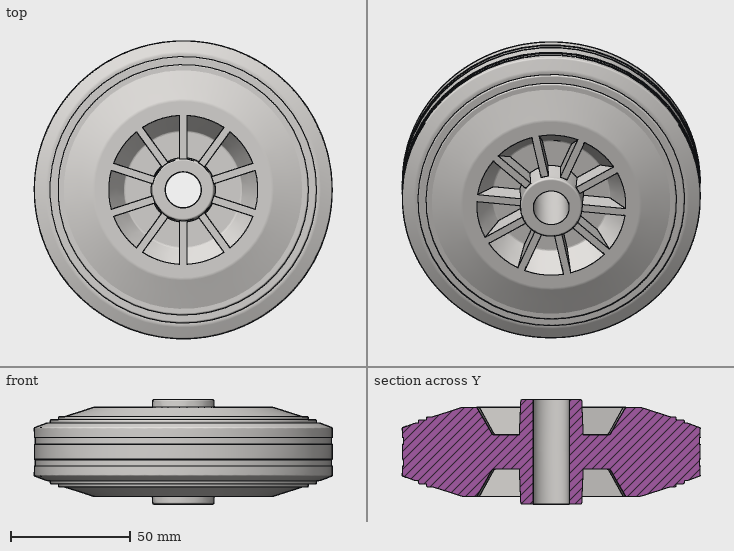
import cadquery as cq

hub_height = 44.0
hub_end_radius = 12.9
hub_foot_radius = 13.5
bore_diameter = 15
hub_edge_round = 0.8

disc_half_width = 18.8
disc_face_radius = 37.5
cone_outer_radius = 50
cone_outer_height = 14.8
disc_edge_round = 3.1

inner_step_radius = 52.5
outer_step_radius = 55.9
outer_step_height = 13.5
step_edge_round = 0.6

tread_radius = 62.5
shoulder_inner_radius = 57.2
shoulder_inner_height = 12.1
shoulder_outer_height = 10.1
shoulder_inner_round = 2.8
shoulder_outer_round = 0.8
groove_diameter = 124.4
groove_inner_height = 3.0
groove_slope_height = 0.4
groove_outer_height = 6.0

pocket_top_radius = 31.2
pocket_floor_radius = 24.6
pocket_floor_height = 7.2
pocket_floor_round = 0.9
rib_count = 10
rib_width = 3.1


def circular_edges(solid, radius, height):
    """Pick the circular edges of one radius at +height and -height."""
    tolerance = 0.01
    return solid.edges("%CIRCLE").filter(
        lambda edge: abs(edge.radius() - radius) < tolerance
        and abs(abs(edge.Center().z) - height) < tolerance
    )


def make_body():
    """Revolve the symmetric half-section of rim and tread, with the corners rounded."""
    upper_outline = [
        (0, disc_half_width),
        (disc_face_radius, disc_half_width),
        (cone_outer_radius, cone_outer_height),
        (inner_step_radius, cone_outer_height),
        (inner_step_radius, outer_step_height),
        (outer_step_radius, outer_step_height),
        (outer_step_radius, shoulder_inner_height),
        (shoulder_inner_radius, shoulder_inner_height),
        (tread_radius, shoulder_outer_height),
    ]
    lower_outline = [(radius, -height) for radius, height in reversed(upper_outline)]
    body = (
        cq.Workplane("XZ")
        .polyline(upper_outline + lower_outline)
        .close()
        .revolve(360, (0, 0, 0), (0, 1, 0))
    )
    rounded_corners = [
        (tread_radius, shoulder_outer_height, shoulder_outer_round),
        (shoulder_inner_radius, shoulder_inner_height, shoulder_inner_round),
        (outer_step_radius, outer_step_height, step_edge_round),
        (inner_step_radius, cone_outer_height, step_edge_round),
        (disc_face_radius, disc_half_width, disc_edge_round),
    ]
    for radius, height, rounding in rounded_corners:
        body = circular_edges(body, radius, height).fillet(rounding)
    return body


def make_tread_grooves():
    """Shallow band around the tread with one sloped wall, on each side of the middle."""
    groove_radius = groove_diameter / 2
    groove = (
        cq.Workplane("XZ")
        .polyline([
            (tread_radius, groove_inner_height),
            (groove_radius, groove_inner_height + groove_slope_height),
            (groove_radius, groove_outer_height),
            (tread_radius, groove_outer_height),
        ])
        .close()
        .revolve(360, (0, 0, 0), (0, 1, 0))
    )
    return groove.union(groove.mirror("XY"))


def make_pockets():
    """Tapered round recess on both faces, left solid where the ribs stand."""
    recess = (
        cq.Workplane("XZ")
        .polyline([
            (0, pocket_floor_height),
            (pocket_floor_radius, pocket_floor_height),
            (pocket_top_radius, disc_half_width),
            (0, disc_half_width),
        ])
        .close()
        .revolve(360, (0, 0, 0), (0, 1, 0))
    )
    recess = circular_edges(recess, pocket_floor_radius, pocket_floor_height).fillet(pocket_floor_round)
    for index in range(rib_count):
        rib = (
            cq.Workplane("XY")
            .center(0, tread_radius / 2)
            .rect(rib_width, tread_radius)
            .extrude(disc_half_width)
            .rotate((0, 0, 0), (0, 0, 1), index * 360 / rib_count)
        )
        recess = recess.cut(rib)
    return recess.union(recess.mirror("XY"))


def make_hub():
    """Hub that narrows slightly from the pocket floors to its rounded ends."""
    hub_end_height = hub_height / 2
    hub = (
        cq.Workplane("XZ")
        .polyline([
            (0, hub_end_height),
            (hub_end_radius, hub_end_height),
            (hub_foot_radius, pocket_floor_height),
            (hub_foot_radius, -pocket_floor_height),
            (hub_end_radius, -hub_end_height),
            (0, -hub_end_height),
        ])
        .close()
        .revolve(360, (0, 0, 0), (0, 1, 0))
    )
    return circular_edges(hub, hub_end_radius, hub_end_height).fillet(hub_edge_round)


bore = cq.Workplane("XY").circle(bore_diameter / 2).extrude(hub_height, both=True)

result = make_body().cut(make_tread_grooves()).cut(make_pockets()).union(make_hub()).cut(bore)